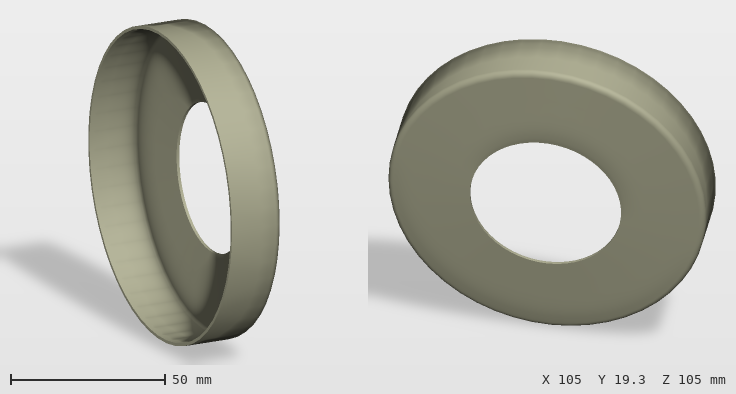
import cadquery as cq
import math

outer_radius = 52.5
depth = 19.3
hole_radius = 25.0
wall = 1.0
corner_radius = 2.0
cone_angle = math.radians(3)

corner_x = outer_radius - corner_radius
cone_end_x = corner_x + corner_radius * math.sin(cone_angle)
cone_end_y = depth - (cone_end_x - hole_radius) * math.tan(cone_angle)
corner_y = cone_end_y - corner_radius * math.cos(cone_angle)
hole_wall_height = wall / math.cos(cone_angle)


def corner_point(radius, angle):
    """Point on a corner arc, with the angle measured up from the X direction."""
    return (corner_x + radius * math.cos(angle), corner_y + radius * math.sin(angle))


arc_end = math.pi / 2 - cone_angle
arc_middle = arc_end / 2
inner_corner_radius = corner_radius - wall

profile = (
    cq.Workplane("XY")
    .moveTo(outer_radius, 0)
    .lineTo(*corner_point(corner_radius, 0))
    .threePointArc(corner_point(corner_radius, arc_middle), corner_point(corner_radius, arc_end))
    .lineTo(hole_radius, depth)
    .lineTo(hole_radius, depth - hole_wall_height)
    .lineTo(*corner_point(inner_corner_radius, arc_end))
    .threePointArc(
        corner_point(inner_corner_radius, arc_middle), corner_point(inner_corner_radius, 0)
    )
    .lineTo(outer_radius - wall, 0)
    .close()
)

result = profile.revolve(360, (0, 0, 0), (0, 1, 0))